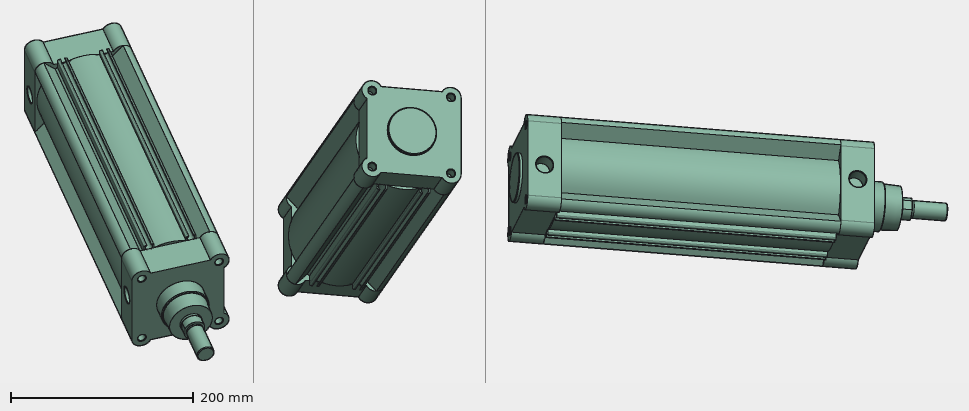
import cadquery as cq
import math

square_side = 112.0
bolt_offset = 44.5
corner_radius = square_side / 2 - bolt_offset
cap_half = 50.0
cap_length = 37.5
bolt_hole_diameter = 8.5
bolt_hole_mouth = 10.0
bolt_hole_depth = 14.5

port_diameter = 19.0
port_mouth = 20.5
port_depth = 19.5
port_offset = 6.5

overall_length = 483.0
rear_boss_length = 4.0
barrel_length = 312.5
collar_length = 18.5
nose_length = 19.5
barrel_start = rear_boss_length + cap_length
front_cap_start = barrel_start + barrel_length
front_face = front_cap_start + cap_length
rod_start = front_face + collar_length + nose_length

boss_diameter = 55.0
boss_chamfer = 1.0
nose_base_diameter = 51.0
nose_tip_diameter = 49.5

tube_radius = 53.5
web_width = 14.5
rail_offset = 24.0
rail_width = 11.5
rail_edge_fillet = 2.0
groove_radius = 4.1
groove_height = 52.5
groove_mouth = 5.0

rod_diameter = 25.0
flats_diameter = 24.5
flats_width = 22.0
round_length = 3.0
flats_length = 10.5
thread_diameter = 20.0
thread_chamfer = 1.0
relief_diameter = 19.5
relief_length = 2.5


def cylinder_x(start, length, diameter):
    """Cylinder about the main axis."""
    return cq.Workplane("YZ", origin=(start, 0, 0)).circle(diameter / 2).extrude(length)


def box_x(start, length, y_range, z_range):
    """Box along the main axis between two Y values and two Z values."""
    size_y = y_range[1] - y_range[0]
    size_z = z_range[1] - z_range[0]
    corner = (start, y_range[0], z_range[0])
    return cq.Workplane("XY").box(length, size_y, size_z, centered=False).translate(corner)


def chamfered_hole(diameter, mouth_diameter, depth):
    """Cutter for a blind hole that enters at the origin and runs towards +Z."""
    chamfer = (mouth_diameter - diameter) / 2
    profile = [
        (0, 0),
        (mouth_diameter / 2, 0),
        (diameter / 2, chamfer),
        (diameter / 2, depth),
        (0, depth),
    ]
    return cq.Workplane("XZ").polyline(profile).close().revolve(360, (0, 0, 0), (0, 1, 0))


def make_cap(start, bolt_face, port_height):
    """Square cap with four corner lobes, flush on -Y; bolt_face is the outer end, '<X' or '>X'."""
    bolt_spacing = 2 * bolt_offset
    lobes = (
        cq.Workplane("YZ", origin=(start, 0, 0))
        .rect(bolt_spacing, bolt_spacing, forConstruction=True)
        .vertices()
        .circle(corner_radius)
        .extrude(cap_length)
    )
    core = box_x(start, cap_length, (-cap_half, cap_half), (-cap_half, cap_half))
    port_face = -square_side / 2
    port_pad = box_x(start, cap_length, (port_face, 0), (-bolt_offset, bolt_offset))
    cap = core.union(port_pad).union(lobes)
    bolt_hole = chamfered_hole(bolt_hole_diameter, bolt_hole_mouth, bolt_hole_depth)
    if bolt_face == "<X":
        bolt_hole = bolt_hole.rotate((0, 0, 0), (0, 1, 0), 90).translate((start, 0, 0))
    else:
        bolt_hole = bolt_hole.rotate((0, 0, 0), (0, 1, 0), -90).translate((start + cap_length, 0, 0))
    for y in (-bolt_offset, bolt_offset):
        for z in (-bolt_offset, bolt_offset):
            cap = cap.cut(bolt_hole.translate((0, y, z)))
    port = chamfered_hole(port_diameter, port_mouth, port_depth).rotate((0, 0, 0), (1, 0, 0), -90)
    return cap.cut(port.translate((start + cap_length / 2, port_face, port_height)))


def make_rear_cap():
    """Rear cap with a low round boss."""
    boss = cylinder_x(0, rear_boss_length, boss_diameter).faces("<X").chamfer(boss_chamfer)
    return make_cap(rear_boss_length, "<X", -port_offset).union(boss)


def make_front_cap():
    """Front cap with a round collar and a slightly tapered nose."""
    collar = cylinder_x(front_face, collar_length, boss_diameter).faces(">X").chamfer(boss_chamfer)
    nose = (
        cq.Workplane("YZ", origin=(front_face + collar_length, 0, 0))
        .circle(nose_base_diameter / 2)
        .workplane(offset=nose_length)
        .circle(nose_tip_diameter / 2)
        .loft()
    )
    return make_cap(front_cap_start, ">X", port_offset).union(collar).union(nose)


def make_sensor_rail():
    """Rail on the +Z side of the barrel with an open round groove."""
    y_range = (rail_offset - rail_width / 2, rail_offset + rail_width / 2)
    rail = box_x(barrel_start, barrel_length, y_range, (0, square_side / 2))
    rail = rail.edges("|X and >Z").fillet(rail_edge_fillet)
    groove = cylinder_x(barrel_start, barrel_length, 2 * groove_radius)
    mouth_range = (rail_offset - groove_mouth / 2, rail_offset + groove_mouth / 2)
    mouth = box_x(barrel_start, barrel_length, mouth_range, (groove_height, square_side / 2))
    return rail.cut(groove.translate((0, rail_offset, groove_height))).cut(mouth)


def make_barrel():
    """Round tube with four diagonal corner bars and two grooved rails on each of +Z and -Z."""
    barrel = cylinder_x(barrel_start, barrel_length, 2 * tube_radius)
    diagonal = math.sqrt(2) * bolt_offset
    tip = cylinder_x(barrel_start, barrel_length, 2 * corner_radius).translate((0, diagonal, 0))
    web_range = (-web_width / 2, web_width / 2)
    inner_web = box_x(barrel_start, barrel_length, (0, diagonal), web_range)
    outer_web = box_x(barrel_start, barrel_length, (diagonal, diagonal + corner_radius), web_range)
    corner_bar = inner_web.union(outer_web.intersect(tip))
    rail = make_sensor_rail()
    for angle in (45, 135, 225, 315):
        barrel = barrel.union(corner_bar.rotate((0, 0, 0), (1, 0, 0), angle))
    for side_rail in (rail, rail.mirror("XZ")):
        barrel = barrel.union(side_rail).union(side_rail.mirror("XY"))
    return barrel


def make_rod():
    """Rod end with two wrench flats facing +Y and -Y, a thread relief and a chamfered threaded end."""
    flats_start = rod_start + round_length
    relief_start = flats_start + flats_length
    thread_start = relief_start + relief_length
    rod = cylinder_x(rod_start, round_length, rod_diameter)
    flats_range = (-flats_width / 2, flats_width / 2)
    flats_slab = box_x(flats_start, flats_length, flats_range, (-rod_diameter, rod_diameter))
    flats = cylinder_x(flats_start, flats_length, flats_diameter).intersect(flats_slab)
    relief = cylinder_x(relief_start, relief_length, relief_diameter)
    thread = cylinder_x(thread_start, overall_length - thread_start, thread_diameter)
    thread = thread.faces(">X").chamfer(thread_chamfer)
    return rod.union(flats).union(relief).union(thread)


rear_cap = make_rear_cap()
barrel = make_barrel()
front_cap = make_front_cap()
piston_rod = make_rod()

result = cq.Compound.makeCompound([rear_cap.val(), barrel.val(), front_cap.val(), piston_rod.val()])